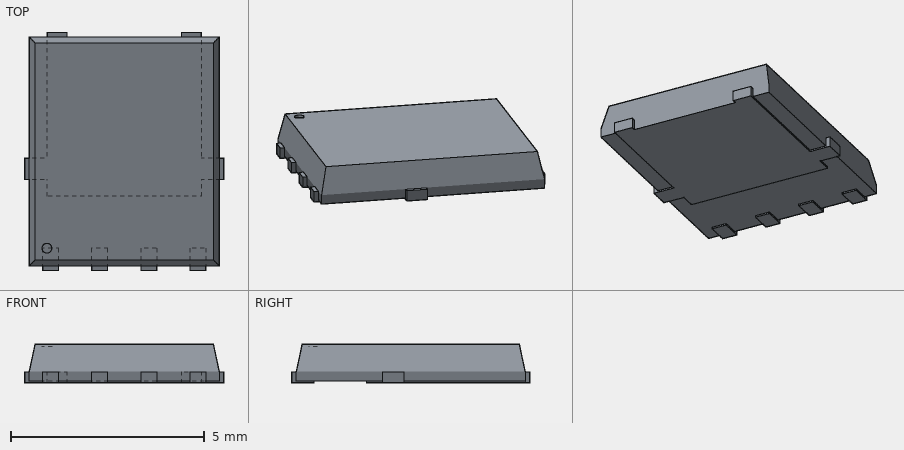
import cadquery as cq

overall_width = 5.15
overall_length = 6.15
overall_height = 1.0

body_width = 4.915
body_length = 5.915
taper_inset = 0.155
body_standoff = 0.04

lead_height = 0.28
front_lead_count = 4
front_lead_width = 0.41
front_lead_pitch = 1.265
front_lead_reach = 0.585
rear_lead_width = 0.515
rear_lead_spacing = 3.47
side_tab_width = 0.555
side_tab_y = -0.45

pad_front_y = -1.145
pad_width = rear_lead_spacing + rear_lead_width

dimple_diameter = 0.25
dimple_depth = 0.06
dimple_inset = 0.31


def block(width, length, bottom, top, x=0, y=0):
    """Box centred on (x, y), spanning the given heights."""
    return (
        cq.Workplane("XY", origin=(x, y, bottom))
        .rect(width, length)
        .extrude(top - bottom)
    )


def make_body():
    base = block(body_width, body_length, body_standoff, lead_height)
    cap = (
        cq.Workplane("XY", origin=(0, 0, lead_height))
        .rect(body_width, body_length)
        .workplane(offset=overall_height - lead_height)
        .rect(body_width - 2 * taper_inset, body_length - 2 * taper_inset)
        .loft(ruled=True)
    )
    return base.union(cap)


def cut_dimple(body):
    x = -(body_width / 2 - taper_inset - dimple_inset)
    y = -(body_length / 2 - taper_inset - dimple_inset)
    dimple = (
        cq.Workplane("XY", origin=(x, y, overall_height - dimple_depth))
        .circle(dimple_diameter / 2)
        .extrude(dimple_depth)
    )
    return body.cut(dimple)


def add_front_leads(part):
    y = -(overall_length - front_lead_reach) / 2
    for index in range(front_lead_count):
        x = (index - (front_lead_count - 1) / 2) * front_lead_pitch
        part = part.union(block(front_lead_width, front_lead_reach, 0, lead_height, x, y))
    return part


def add_rear_frame(part):
    pad_length = body_length / 2 - pad_front_y
    pad_y = (body_length / 2 + pad_front_y) / 2
    part = part.union(block(pad_width, pad_length, 0, lead_height, 0, pad_y))

    lead_length = overall_length / 2 - pad_front_y
    lead_y = (overall_length / 2 + pad_front_y) / 2
    for side in (-1, 1):
        x = side * rear_lead_spacing / 2
        part = part.union(block(rear_lead_width, lead_length, 0, lead_height, x, lead_y))

    return part.union(block(overall_width, side_tab_width, 0, lead_height, 0, side_tab_y))


result = cut_dimple(make_body())
result = add_front_leads(result)
result = add_rear_frame(result)